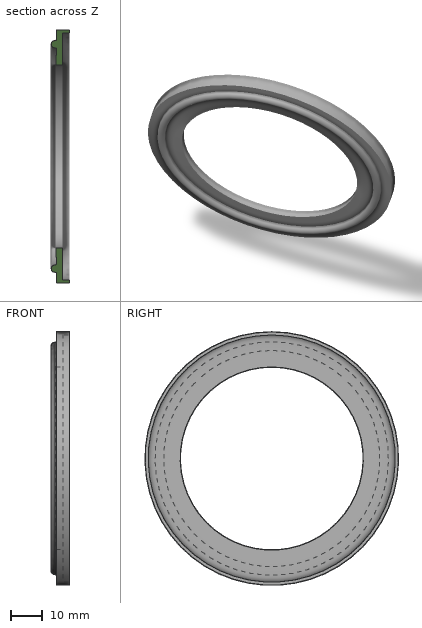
import cadquery as cq

outer_radius = 39.75
bore_radius = 28.6
total_width = 5.8
bead_height = 1.7
rim_width = total_width - bead_height

bead_center_radius = 35.2
bead_half_width = 1.2
bead_foot_half_width = 1.35
bead_foot_height = 0.55

web_thickness = 2.1
web_face_rise = 0.2
rim_wall = 1.0
recess_radius = outer_radius - rim_wall

crest_x = -total_width / 2
face_x = crest_x + bead_height
back_x = face_x + rim_width
foot_x = face_x - bead_foot_height
web_back_x = face_x + web_thickness

section = (
    cq.Workplane("XZ")
    .moveTo(face_x - web_face_rise, bore_radius)
    .lineTo(face_x, bead_center_radius - bead_foot_half_width)
    .lineTo(foot_x, bead_center_radius - bead_half_width)
    .threePointArc(
        (crest_x, bead_center_radius),
        (foot_x, bead_center_radius + bead_half_width),
    )
    .lineTo(face_x, bead_center_radius + bead_foot_half_width)
    .lineTo(face_x, outer_radius)
    .lineTo(back_x, outer_radius)
    .lineTo(back_x, recess_radius)
    .lineTo(web_back_x, recess_radius)
    .lineTo(web_back_x, bore_radius)
    .close()
)

result = section.revolve(360, (0, 0, 0), (1, 0, 0))